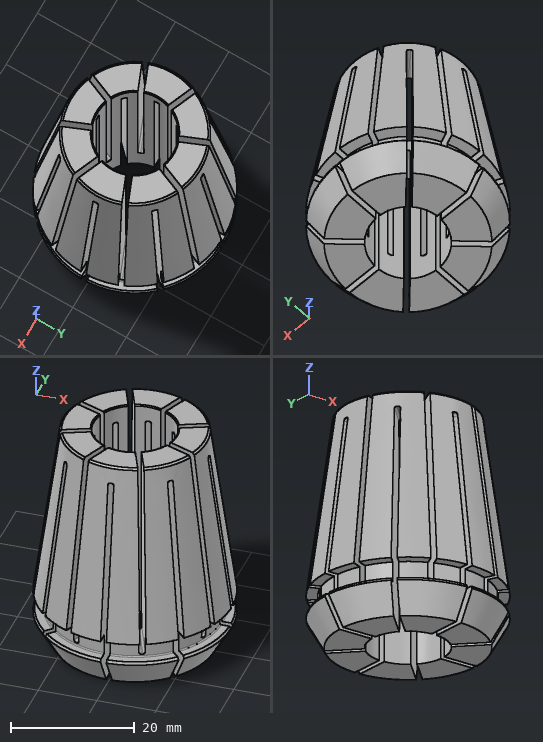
import cadquery as cq
import math

total_height = 40.0
flange_land = 5.1
flange_top = 5.55
taper_start = 9.05

outer_diameter = 33.0
groove_diameter = 29.2
bore_diameter = 14.0

flange_chamfer = 0.3
groove_fillet = 0.2
top_chamfer = 0.3
bore_chamfer = 0.2
taper_angle = 8.0
nose_angle = 30.0

slot_width = 1.0
slot_corner = 0.4
slot_count = 8
lower_slot_top = 37.1
upper_slot_bottom = 6.0
slot_overrun = 2.0

outer_radius = outer_diameter / 2
groove_radius = groove_diameter / 2
bore_radius = bore_diameter / 2
slot_pitch = 360.0 / slot_count
nose_radius = outer_radius - flange_land * math.tan(math.radians(nose_angle))
top_radius = outer_radius - (total_height - taper_start) * math.tan(math.radians(taper_angle))
chamfer_radius = top_radius + top_chamfer * math.tan(math.radians(taper_angle))


def collet_body():
    """Revolve the half section: nose, locking groove, clamping taper and bore."""
    fillet_inset = groove_fillet * (1 - math.sqrt(0.5))
    section = (
        cq.Workplane("XZ")
        .moveTo(bore_radius, 0)
        .lineTo(nose_radius, 0)
        .lineTo(outer_radius, flange_land)
        .lineTo(outer_radius - flange_chamfer, flange_top)
        .lineTo(groove_radius + groove_fillet, flange_top)
        .threePointArc(
            (groove_radius + fillet_inset, flange_top + fillet_inset),
            (groove_radius, flange_top + groove_fillet),
        )
        .lineTo(groove_radius, taper_start)
        .lineTo(outer_radius, taper_start)
        .lineTo(chamfer_radius, total_height - top_chamfer)
        .lineTo(top_radius - top_chamfer, total_height)
        .lineTo(bore_radius + bore_chamfer, total_height)
        .lineTo(bore_radius, total_height - bore_chamfer)
        .close()
    )
    return section.revolve(360, (0, 0, 0), (0, 1, 0))


def radial_slot(closed_end, open_end, angle):
    """Cutter from the axis outward at one angle, with rounded corners at its closed end in Z."""
    open_limit = open_end + math.copysign(slot_overrun, open_end - closed_end)
    closed_corners = "<Z" if closed_end < open_end else ">Z"
    cutter = (
        cq.Workplane("YZ")
        .center(0, (closed_end + open_limit) / 2)
        .rect(slot_width, abs(open_limit - closed_end))
        .extrude(outer_radius + slot_overrun)
        .faces(closed_corners)
        .edges("|X")
        .fillet(slot_corner)
    )
    return cutter.rotate((0, 0, 0), (0, 0, 1), angle)


result = collet_body()
for index in range(slot_count):
    lower_angle = index * slot_pitch
    upper_angle = lower_angle + slot_pitch / 2
    result = result.cut(radial_slot(lower_slot_top, 0, lower_angle))
    result = result.cut(radial_slot(upper_slot_bottom, total_height, upper_angle))